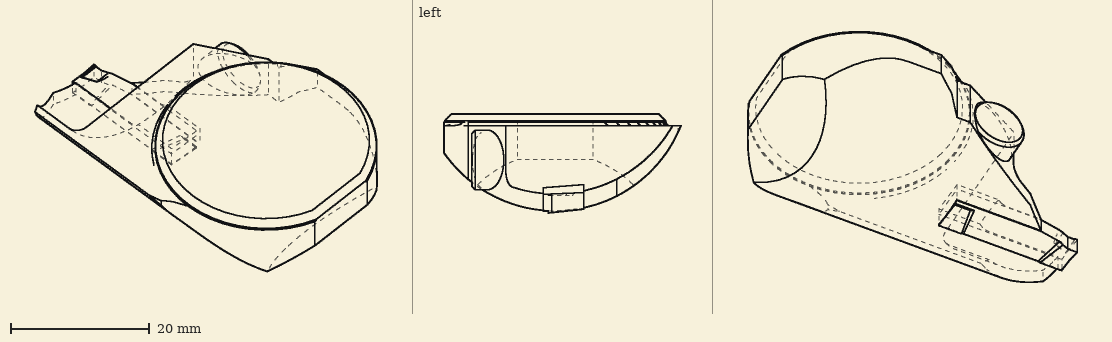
import cadquery as cq
import math

OVERALL_LENGTH = 50.1
REACH = 30.05

DISC_RADIUS = 15.95
SEAT_RADIUS = 16.05
DISC_HEIGHT = 1.7
DISC_CHAMFER = 1.0
FLAT_X = 15.1
ROOT_FILLET = 0.45

BELLY_RADIUS = 19.55
BELLY_AXIS_Z = 7.2
BACK_SLOPE_SUM = 19.95
BLOCK_FRONT_X = -34.15
FRONT_CORNER_Y = -8.85
FRONT_CORNER_ANGLE = 60.0
OUTLINE_MARGIN_Y = -20.05
NECK_EDGE_X = -5.85
NECK_EDGE_Y = -18.15
NECK_START_X = -3.85
NECK_RADIUS = 5.25
LEFT_FLANK = [(-5.25, SEAT_RADIUS), (-7.6, 14.7), (-9.55, 12.5), (-11.65, 12.5), (-25.2, 5.0)]

UNDER_Z = -15.05

FLOOR_RADIUS = 19.55
FLOOR_AXIS_Z = 9.65
WALL_X = -21.45
WALL_FILLET = 1.65

STUB_RADIUS = 4.3
STUB_X = -16.6
STUB_Z = -4.95
STUB_END_Y = 12.0
STUB_ROOT_Y = 5.0
STUB_CHAMFER = 0.5

INSERT_LENGTH = 20.05
INSERT_FRONT_X = FLAT_X - OVERALL_LENGTH
INSERT_BACK_X = INSERT_FRONT_X + INSERT_LENGTH
INSERT_MID_X = (INSERT_FRONT_X + INSERT_BACK_X) / 2
INSERT_RIGHT_Y = -4.15
INSERT_LEFT_Y = 1.7
INSERT_TOP_RIGHT_Z = -9.65
INSERT_TOP_LEFT_Z = -9.9
NOSE_BREAK_Y = -1.6
NOSE_SETBACK = 0.2
NOSE_FLANK = [(-33.5, 0.5), (-32.4, 0.95), (-31.4, 1.15), (-28.55, INSERT_LEFT_Y)]
NOSE_LEFT_Y = NOSE_FLANK[0][1]
BAR_RIGHT_Z = -11.9
BAR_LEFT_Z = -12.35
HEAD_RIGHT_Z = -12.05
HEAD_LOW_Z = -12.65
HEAD_LEFT_Y = 1.0
HEAD_FLAT_LENGTH = 2.5
HEAD_LENGTH = 4.0
POCKET_FLOOR_Z = -10.0
POCKET_RIM = [(-34.75, 2.0), (-34.75, -2.7), (-32.15, -1.6), (-30.3, 2.0)]
POCKET_FLOOR = [(-34.55, 2.0), (-34.55, -2.5), (-32.45, -1.6), (-32.45, 2.0)]
SLOT_TOP_RIGHT_Z = -8.5
SLOT_TOP_LEFT_Z = -8.95


def cylinder_along_x(radius, axis_z, x_start, x_end):
    face = cq.Workplane("YZ", origin=(x_start, 0, axis_z)).circle(radius)
    return face.extrude(x_end - x_start)


def block_outline(height):
    """Plan of the block, extruded from below the belly up to the given height."""
    corner_run = (FRONT_CORNER_Y - OUTLINE_MARGIN_Y) / math.tan(math.radians(FRONT_CORNER_ANGLE))
    flat_half = math.sqrt(SEAT_RADIUS**2 - FLAT_X**2)
    diagonal = SEAT_RADIUS * math.sqrt(0.5)
    neck_center_y = -SEAT_RADIUS - NECK_RADIUS

    def neck_y(x):
        return neck_center_y + math.sqrt(NECK_RADIUS**2 - x**2)

    plan = (
        cq.Workplane("XY", origin=(0, 0, UNDER_Z))
        .moveTo(BLOCK_FRONT_X, FRONT_CORNER_Y)
        .lineTo(BLOCK_FRONT_X + corner_run, OUTLINE_MARGIN_Y)
        .lineTo(NECK_EDGE_X, OUTLINE_MARGIN_Y)
        .lineTo(NECK_EDGE_X, NECK_EDGE_Y)
        .lineTo(NECK_START_X, neck_y(NECK_START_X))
        .threePointArc((NECK_START_X / 2, neck_y(NECK_START_X / 2)), (0, -SEAT_RADIUS))
        .threePointArc((diagonal, -diagonal), (FLAT_X, -flat_half))
        .lineTo(FLAT_X, flat_half)
        .threePointArc((diagonal, diagonal), (0, SEAT_RADIUS))
    )
    for x, y in LEFT_FLANK + NOSE_FLANK[::-1]:
        plan = plan.lineTo(x, y)
    plan = plan.lineTo(BLOCK_FRONT_X, NOSE_LEFT_Y).close()
    return plan.extrude(height - UNDER_Z)


def back_slope():
    """Wedge below the 45 degree slope under the flat."""
    wedge = [(FLAT_X + REACH, FLAT_X + REACH - BACK_SLOPE_SUM), (-REACH, -REACH - BACK_SLOPE_SUM),
             (FLAT_X + REACH, -REACH - BACK_SLOPE_SUM)]
    return cq.Workplane("XZ").polyline(wedge).close().extrude(REACH, both=True)


def front_recess():
    """Rounded floor meeting the upright wall in a fillet."""
    recess = cylinder_along_x(FLOOR_RADIUS, FLOOR_AXIS_Z, INSERT_FRONT_X, WALL_X)
    return recess.faces(">X").edges().fillet(WALL_FILLET)


def disc():
    """Round plate with one flat, chamfered all round its top."""
    plate = cq.Workplane("XY").circle(DISC_RADIUS).extrude(DISC_HEIGHT)
    plate = plate.faces(">Z").edges().chamfer(DISC_CHAMFER)
    side = [(-DISC_RADIUS, 0), (FLAT_X, 0), (FLAT_X, DISC_HEIGHT - DISC_CHAMFER),
            (FLAT_X - DISC_CHAMFER, DISC_HEIGHT), (-DISC_RADIUS, DISC_HEIGHT)]
    flat_limit = cq.Workplane("XZ").polyline(side).close().extrude(DISC_RADIUS, both=True)
    return plate.intersect(flat_limit)


def seat_surround():
    """What is cleared above the block around the disc, leaving a hollow fillet at the disc's root."""
    outer = SEAT_RADIUS + ROOT_FILLET
    middle = ROOT_FILLET * (1 - math.sqrt(0.5))
    profile = (
        cq.Workplane("XZ")
        .moveTo(outer, 0)
        .threePointArc((SEAT_RADIUS + middle, middle), (SEAT_RADIUS, ROOT_FILLET))
        .lineTo(SEAT_RADIUS, DISC_HEIGHT)
        .lineTo(2 * REACH, DISC_HEIGHT)
        .lineTo(2 * REACH, 0)
        .close()
    )
    return profile.revolve(360, (0, 0, 0), (0, 1, 0))


def stub():
    rod = cq.Workplane("XZ", origin=(STUB_X, STUB_ROOT_Y, STUB_Z)).circle(STUB_RADIUS)
    rod = rod.extrude(STUB_ROOT_Y - STUB_END_Y)
    return rod.faces(">Y").edges().chamfer(STUB_CHAMFER)


def bar_prism(section, x_start, x_end):
    face = cq.Workplane("YZ", origin=(x_start, 0, 0)).polyline(section).close()
    return face.extrude(x_end - x_start)


def insert_head():
    """Raised pad below the front end, with a sloped inner end."""
    section = [(INSERT_RIGHT_Y, INSERT_TOP_LEFT_Z), (INSERT_RIGHT_Y, HEAD_RIGHT_Z),
               (HEAD_LEFT_Y, HEAD_LOW_Z), (HEAD_LEFT_Y, INSERT_TOP_LEFT_Z)]
    end_x = INSERT_FRONT_X + HEAD_LENGTH
    pad = bar_prism(section, INSERT_FRONT_X, end_x)
    top_z = INSERT_TOP_LEFT_Z
    side = [(INSERT_FRONT_X, top_z), (INSERT_FRONT_X, HEAD_LOW_Z),
            (INSERT_FRONT_X + HEAD_FLAT_LENGTH, HEAD_LOW_Z), (end_x, BAR_RIGHT_Z),
            (end_x, top_z)]
    return pad.intersect(cq.Workplane("XZ").polyline(side).close().extrude(REACH, both=True))


def insert_plan():
    """Plan of the insert, extruded from below the belly up to the block's upper face."""
    nose_x = INSERT_FRONT_X + NOSE_SETBACK
    plan = [(INSERT_FRONT_X, NOSE_LEFT_Y), (nose_x, NOSE_BREAK_Y), (nose_x, INSERT_RIGHT_Y),
            (INSERT_BACK_X, INSERT_RIGHT_Y), (INSERT_BACK_X, INSERT_LEFT_Y), *reversed(NOSE_FLANK)]
    return cq.Workplane("XY").polyline(plan).close().extrude(UNDER_Z)


def chip_pocket():
    """Shallow pocket in the nose, open to the flank, with sloped sides."""
    rim = cq.Workplane("XY", origin=(0, 0, INSERT_TOP_RIGHT_Z)).polyline(POCKET_RIM).close()
    floor = rim.workplane(offset=POCKET_FLOOR_Z - INSERT_TOP_RIGHT_Z).polyline(POCKET_FLOOR).close()
    return floor.loft(ruled=True)


def make_insert():
    section = [(INSERT_RIGHT_Y, INSERT_TOP_RIGHT_Z), (INSERT_RIGHT_Y, BAR_RIGHT_Z),
               (INSERT_LEFT_Y, BAR_LEFT_Z), (INSERT_LEFT_Y, INSERT_TOP_LEFT_Z)]
    bar = bar_prism(section, INSERT_FRONT_X, INSERT_BACK_X)
    head = insert_head()
    bar = bar.union(head).union(head.mirror("YZ", (INSERT_MID_X, 0, 0)))
    return bar.intersect(insert_plan()).cut(chip_pocket())


def insert_slot():
    """Slot for the insert: open at the front and underneath, with room above the insert."""
    section = [(INSERT_RIGHT_Y, UNDER_Z), (INSERT_RIGHT_Y, SLOT_TOP_RIGHT_Z),
               (INSERT_LEFT_Y, SLOT_TOP_LEFT_Z), (INSERT_LEFT_Y, UNDER_Z)]
    return bar_prism(section, INSERT_FRONT_X, INSERT_BACK_X)


def make_holder():
    belly = cylinder_along_x(BELLY_RADIUS, BELLY_AXIS_Z, INSERT_FRONT_X, REACH)
    block = block_outline(ROOT_FILLET).intersect(belly)
    block = block.cut(back_slope()).cut(front_recess()).cut(seat_surround())
    return block.cut(insert_slot()).union(disc()).union(stub())


insert = make_insert()
holder = make_holder()
result = cq.Compound.makeCompound([holder.val(), insert.val()])